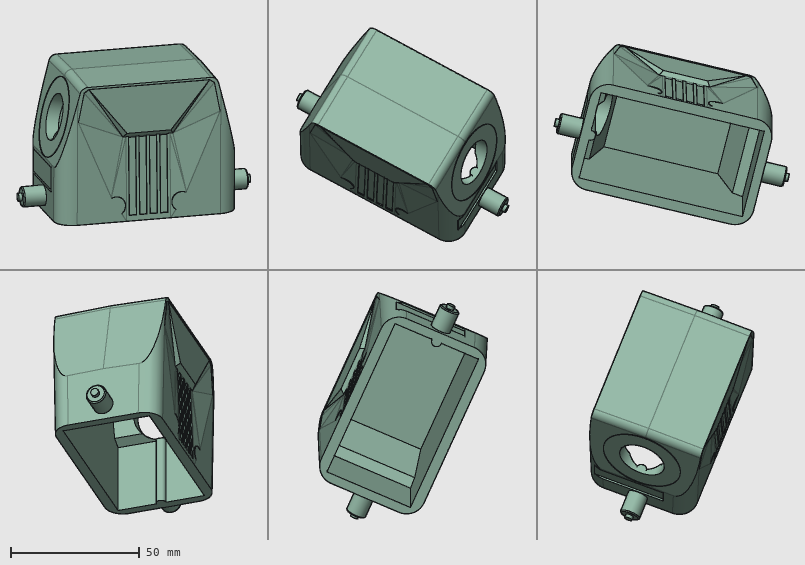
import cadquery as cq
import math

half_length = 36.5
bottom_half_width = 21.9
width = 45.8
top_half_width = width / 2
height = 57.0
ridge_fall = 0.7
corner_radius = 7.5
knee_height = 22.7
lean_angle = 14.8
roof_radius = 3.3
lean = math.tan(math.radians(lean_angle))
roof_half_length = half_length - (height - knee_height) * lean

cavity_half_width = 17.8
cavity_half_length = 32.8
cavity_top = 52.5
shelf_inner_height = 30.3
shelf_outer_height = 28.3
upper_wall = 5.5

entry_height = 38.2
entry_radius = 9.3
seat_radius = 16.0
seat_depth = 0.3
entry_depth = 2 * upper_wall

boss_radius = 2.0
boss_y = -32.6

peg_height = 6.5
peg_radius = 4.0
peg_end = 45.5
peg_chamfer = 0.5
tip_radius = 1.6
tip_end = 46.9
peg_root = half_length - 0.9

label_left = -18.6
label_right = 10.5
label_bottom = 11.0
label_top = 21.0
label_depth = 0.75
label_backing = 2.8

rim_step = 0.2
grip_depth = 1.9
grip_half_width = 8.9
pad_y = 13.3
pad_z = 6.5
pad_radius = 3.9
overhang_top = 36.1
overhang_bottom = 34.2
groove_count = 4
groove_width = 2.9
groove_pitch = 4.2
groove_depth = 0.5
groove_bottom = 2.3

clearance = 4.7


def side_x(z):
    """Half width of the drafted side walls at height z."""
    return bottom_half_width + (top_half_width - bottom_half_width) * z / (height - ridge_fall)


def end_profile(x, fall):
    """Length profile at X = x, with knee, slopes and roof lowered by fall."""
    tangent = roof_radius * math.tan(math.radians((90 - lean_angle) / 2))
    arc_y_low = roof_half_length + tangent * math.sin(math.radians(lean_angle))
    arc_z_low = height - tangent * math.cos(math.radians(lean_angle)) - fall
    arc_y_high = roof_half_length - tangent
    roof_z = height - fall
    return (
        cq.Workplane("YZ", origin=(x, 0, 0))
        .moveTo(-half_length, -clearance)
        .lineTo(-half_length, knee_height - fall)
        .lineTo(-arc_y_low, arc_z_low)
        .radiusArc((-arc_y_high, roof_z), roof_radius)
        .lineTo(arc_y_high, roof_z)
        .radiusArc((arc_y_low, arc_z_low), roof_radius)
        .lineTo(half_length, knee_height - fall)
        .lineTo(half_length, -clearance)
        .close()
        .wires()
        .val()
    )


def make_shell():
    """Drafted block with rounded corners, trimmed by the two halves of the ridged roof."""
    base_x = side_x(0)
    top_x = side_x(height)
    block = (
        cq.Workplane("XZ")
        .polyline([(-base_x, 0), (base_x, 0), (top_x, height), (-top_x, height)])
        .close()
        .extrude(half_length, both=True)
        .edges("not #Z")
        .fillet(corner_radius)
    )
    half = cq.Workplane(cq.Solid.makeLoft([end_profile(0, 0), end_profile(top_half_width, ridge_fall)], True))
    return block.intersect(half.union(half.mirror("YZ")))


def make_cavity():
    """Lower chamber, sloping shelf and narrower upper chamber."""
    wall_y = upper_wall / math.cos(math.radians(lean_angle))

    def upper_y(z):
        return half_length - (z - knee_height) * lean - wall_y

    half = [
        (cavity_half_length, -clearance),
        (cavity_half_length, shelf_outer_height),
        (upper_y(shelf_inner_height), shelf_inner_height),
        (upper_y(cavity_top), cavity_top),
    ]
    outline = half + [(-y, z) for y, z in reversed(half)]
    return cq.Workplane("YZ").polyline(outline).close().extrude(cavity_half_width, both=True)


def polygon_face(points):
    """Flat face bounded by straight edges."""
    return cq.Face.makeFromWires(cq.Wire.makePolygon(points, close=True))


def make_grip():
    """Cutter for the -X side: upper panel, overhang and hollow finger surfaces."""
    panel_top = (24.5, 55.4, rim_step)
    rim_bend = (26.3, 54.1, rim_step)
    rim_foot = (28.7, 42.2, 0)
    pad_side = (15.2, 10.3, 0)
    strip_foot = (grip_half_width, 0, 0)
    strip_head = (grip_half_width, overhang_bottom, grip_depth)
    flank_foot = (10.1, overhang_bottom, grip_depth)
    panel_foot = (grip_half_width, overhang_top, rim_step)

    def place(point, sign=1):
        y, z, depth = point
        return cq.Vector(depth - side_x(z), sign * y, z)

    def outward(vector):
        return cq.Vector(-top_half_width - clearance, vector.y, vector.z)

    def across(points):
        near = [place(p) for p in points]
        far = [place(p, -1) for p in reversed(points)]
        return near + far

    one_sided = [
        (panel_top, flank_foot, panel_foot),
        (panel_top, rim_bend, flank_foot),
        (rim_bend, rim_foot, flank_foot),
        (rim_foot, pad_side, flank_foot),
        (pad_side, strip_head, flank_foot),
        (pad_side, strip_foot, strip_head),
    ]
    faces = [polygon_face([place(p, sign) for p in points]) for points in one_sided for sign in (1, -1)]
    faces.append(polygon_face(across([panel_top, panel_foot])))
    faces.append(polygon_face(across([panel_foot, flank_foot, strip_head])))
    faces.append(polygon_face(across([strip_head, strip_foot])))

    border = across([panel_top, rim_bend, rim_foot, pad_side, strip_foot])
    for start, end in zip(border, border[1:] + border[:1]):
        faces.append(polygon_face([start, end, outward(end), outward(start)]))
    faces.append(polygon_face([outward(v) for v in border]))
    cutter = cq.Workplane(cq.Solid.makeSolid(cq.Shell.makeShell(faces)))

    pads = (
        cq.Workplane("YZ")
        .pushPoints([(pad_y, pad_z), (-pad_y, pad_z)])
        .circle(pad_radius)
        .extrude(-(top_half_width + 2 * clearance))
    )
    return cutter.cut(pads)


def make_grooves():
    """Vertical grooves of even depth in the strip below the -X overhang."""
    slope = grip_depth / overhang_bottom

    def strip_x(z):
        return slope * z - side_x(z)

    overhang_slope = (overhang_top - overhang_bottom) / (grip_depth - rim_step)
    head_z = overhang_bottom - overhang_slope * groove_depth
    profile = [
        (strip_x(groove_bottom), groove_bottom),
        (strip_x(groove_bottom) + groove_depth, groove_bottom),
        (strip_x(head_z) + groove_depth, head_z),
        (strip_x(overhang_bottom), overhang_bottom),
    ]
    groove = cq.Workplane("XZ").polyline(profile).close().extrude(groove_width / 2, both=True)
    grooves = cq.Workplane("XY")
    for index in range(groove_count):
        y = (index - (groove_count - 1) / 2) * groove_pitch
        grooves = grooves.add(groove.translate((0, y, 0)))
    return grooves.combine()


def make_pegs():
    """Stepped locking pegs on both end walls."""
    peg = (
        cq.Workplane("XZ", origin=(0, -peg_root, peg_height))
        .circle(peg_radius)
        .extrude(peg_end - peg_root)
        .faces("<Y")
        .chamfer(peg_chamfer)
        .faces("<Y")
        .workplane()
        .circle(tip_radius)
        .extrude(tip_end - peg_end)
    )
    return peg.union(peg.mirror("XZ"))


def entry_cylinder(radius, depth):
    """Cylinder reaching depth below the leaning front wall, along the entry axis."""
    front_y = -half_length + (entry_height - knee_height) * lean
    axis = cq.Vector(0, math.cos(math.radians(lean_angle)), -math.sin(math.radians(lean_angle)))
    start = cq.Vector(0, front_y, entry_height) - axis * clearance
    return cq.Workplane(cq.Solid.makeCylinder(radius, clearance + depth, start, axis))


def label_box(y_front, y_back):
    """Block over the label field between two Y positions."""
    return (
        cq.Workplane("XY")
        .box(label_right - label_left, y_back - y_front, label_top - label_bottom, centered=False)
        .translate((label_left, y_front, label_bottom))
    )


shell = make_shell().cut(make_cavity())
boss = cq.Workplane("XY").center(0, boss_y).circle(boss_radius).extrude(shelf_inner_height)
shell = shell.union(boss)

shell = shell.cut(entry_cylinder(seat_radius, seat_depth))
shell = shell.cut(entry_cylinder(entry_radius, entry_depth))

label_y = -half_length + label_depth
shell = shell.cut(label_box(label_y - clearance, label_y))
shell = shell.union(label_box(label_y, label_y + label_backing))

for cutter in (make_grip(), make_grooves()):
    shell = shell.cut(cutter).cut(cutter.mirror("YZ"))

result = shell.union(make_pegs())